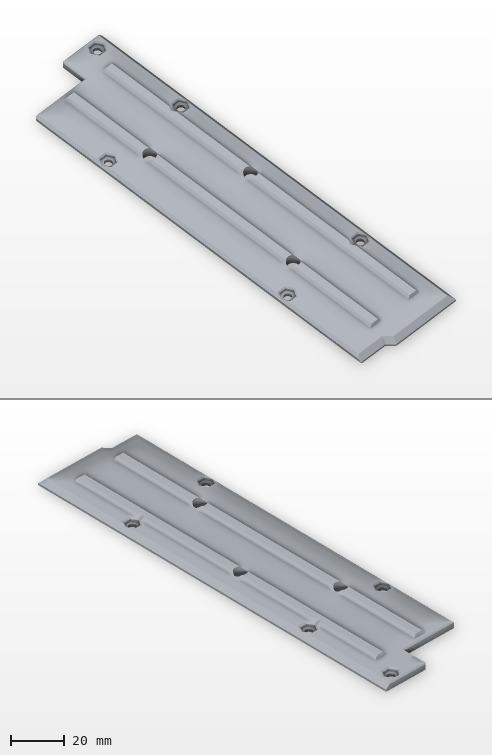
import cadquery as cq
import math

length = 185.0
width = 47.0
total_height = 4.5
rib_height = 1.3
plate_thickness = total_height - rib_height

notch_length = 11.8
notch_width = 26.0
step_depth = 3.0
step_start = 15.7

bevel = 2.2
front_top_chamfer = 1.1
front_bottom_chamfer = 0.7
small_chamfer = 0.5

selection_margin = 0.02

rib_start = 14.0
rib_length = 160.0
rib_base_width = 6.0
rib_end_slope = 0.5
rear_rib_y = 35.9
rib_spacing = 20.0
front_rib_y = rear_rib_y - rib_spacing

rib_hole_diameter = 5.5
rib_hole_points = [(88.8, rear_rib_y), (56.0, front_rib_y), (131.0, front_rib_y)]

screw_diameter = 3.3
nut_flats = 5.5
nut_depth = 1.7
nut_countersink = 0.5
screw_columns = [46.5, 140.2]
screw_rows = [3.7, 41.8]
corner_screw = (4.6, 40.0)
screw_points = [(x, y) for x in screw_columns for y in screw_rows] + [corner_screw]


def edges_in_box(body, start, end, bottom, top):
    """Edges wholly inside the box spanned by two XY points and two heights."""
    low_x, high_x = sorted((start[0], end[0]))
    low_y, high_y = sorted((start[1], end[1]))
    low = (low_x - selection_margin, low_y - selection_margin, bottom - selection_margin)
    high = (high_x + selection_margin, high_y + selection_margin, top + selection_margin)
    return body.edges(cq.selectors.BoxSelector(low, high, boundingbox=True))


def make_plate():
    """Flat plate with its corner chamfers, edge bevels and front-edge chamfers."""
    step_x = length - step_depth
    rear_left = (0, width)
    notch_outer = (0, notch_width)
    notch_inner = (notch_length, notch_width)
    front_left = (notch_length, 0)
    front_right = (step_x, 0)
    step_low = (step_x, step_start - step_depth)
    step_high = (length, step_start)
    rear_right = (length, width)
    outline = [
        rear_left, notch_outer, notch_inner, front_left,
        front_right, step_low, step_high, rear_right,
    ]
    plate = cq.Workplane("XY").polyline(outline).close().extrude(plate_thickness)

    top = plate_thickness
    for corner in (notch_outer, front_left):
        plate = edges_in_box(plate, corner, corner, 0, top).chamfer(small_chamfer)

    right_edges = edges_in_box(plate, front_right, rear_right, top, top)
    rear_edge = edges_in_box(plate, rear_left, rear_right, top, top)
    plate = right_edges.add(rear_edge).chamfer(bevel)

    plate = edges_in_box(plate, front_left, front_right, top, top).chamfer(front_top_chamfer)
    plate = edges_in_box(plate, front_left, front_right, 0, 0).chamfer(front_bottom_chamfer)

    left_chain_end = (notch_length + small_chamfer, 0)
    plate = edges_in_box(plate, rear_left, left_chain_end, top, top).chamfer(small_chamfer)
    return plate


def make_rib(center_y):
    """Rib with 45-degree long sides and steep ends, sitting on the plate."""
    rib_top_length = rib_length - 2 * rib_end_slope
    rib_top_width = rib_base_width - 2 * rib_height
    return (
        cq.Workplane("XY", origin=(rib_start + rib_length / 2, center_y, plate_thickness))
        .rect(rib_length, rib_base_width)
        .workplane(offset=rib_height)
        .rect(rib_top_length, rib_top_width)
        .loft()
    )


def corners_across(flats):
    """Distance across the corners of a hexagon from its distance across flats."""
    return flats / math.cos(math.pi / 6)


def hexagon(center, z, flats):
    """Hexagon with two flats facing the X directions at height z."""
    return (
        cq.Workplane("XY", origin=(*center, z))
        .transformed(rotate=(0, 0, 90))
        .polygon(6, corners_across(flats))
    )


def make_nut_pocket(center):
    """Hexagonal nut pocket whose 45-degree countersink carries on up to the rib tops."""
    countersink_floor = plate_thickness - nut_countersink
    countersink_height = total_height - countersink_floor
    mouth_flats = nut_flats + 2 * countersink_height
    pocket = hexagon(center, plate_thickness - nut_depth, nut_flats).extrude(nut_depth)
    countersink = (
        hexagon(center, countersink_floor, nut_flats)
        .workplane(offset=countersink_height)
        .polygon(6, corners_across(mouth_flats))
        .loft()
    )
    return pocket.union(countersink)


def make_holes(points, diameter):
    """Round holes through the whole height."""
    return cq.Workplane("XY").pushPoints(points).circle(diameter / 2).extrude(total_height)


result = make_plate()
for rib_y in (front_rib_y, rear_rib_y):
    result = result.union(make_rib(rib_y))
result = result.cut(make_holes(rib_hole_points, rib_hole_diameter))
result = result.cut(make_holes(screw_points, screw_diameter))
for point in screw_points:
    result = result.cut(make_nut_pocket(point))